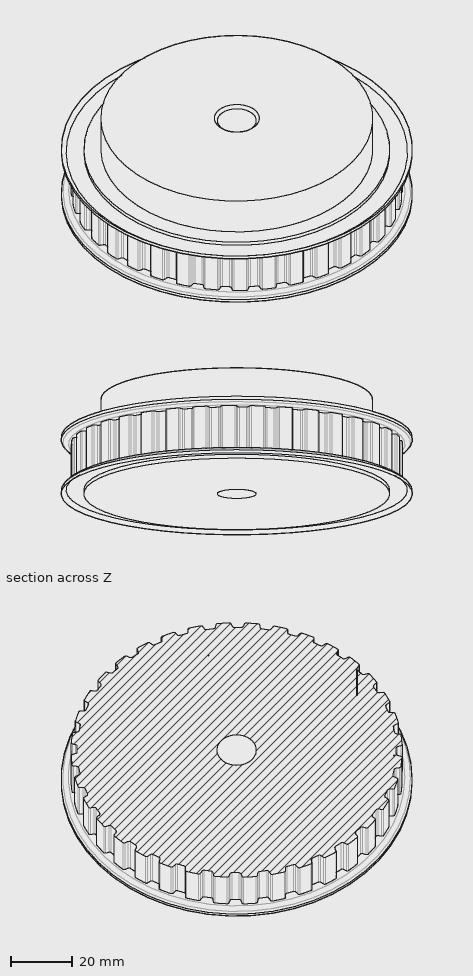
import cadquery as cq
import math

total_height = 31.75
hub_height = 12.7
rim_height = total_height - hub_height
hub_radius = 88.9 / 2

bore_radius = 12.7 / 2
bore_chamfer = 1.0

tooth_count = 36
tooth_angle = 360 / tooth_count
belt_pitch = 9.525
belt_line_offset = 0.381
tooth_tip_radius = tooth_count * belt_pitch / (2 * math.pi) - belt_line_offset

groove_depth = 1.98
groove_floor_width = 3.2
flank_angle = math.radians(20)
root_rounding = 0.6
tip_rounding = 0.7

flange_radius = 114.81 / 2
core_radius = 50.0
flange_dish_depth = 1.27
flange_thickness = 1.1
flange_rim_thickness = 1.05
dish_floor_radius = 55.8
outer_bend_start_radius = 55.0
outer_bend_end_radius = 56.8
outer_bend_end_depth = 1.7

overlap = 1.0


def make_hub_and_core():
    core = cq.Workplane("XY").circle(core_radius).extrude(rim_height)
    hub = cq.Workplane("XY").workplane(offset=rim_height).circle(hub_radius).extrude(hub_height)
    return core.union(hub)


def make_flange():
    """Upper flange: a flat plate whose rim bends upwards."""
    plate_top = rim_height - flange_dish_depth
    plate_bottom = plate_top - flange_thickness
    inner_radius = core_radius - overlap
    return (
        cq.Workplane("XZ")
        .moveTo(inner_radius, plate_bottom)
        .lineTo(outer_bend_start_radius, plate_bottom)
        .tangentArcPoint((outer_bend_end_radius, rim_height - outer_bend_end_depth), relative=False)
        .lineTo(flange_radius, rim_height - flange_rim_thickness)
        .lineTo(flange_radius, rim_height)
        .lineTo(dish_floor_radius, plate_top)
        .lineTo(inner_radius, plate_top)
        .close()
        .revolve(360, (0, 0, 0), (0, 1, 0))
    )


def make_groove_cutter(height):
    """Prism for the groove on the +X side, including the rounding of its roots and tooth tips."""
    floor_half = groove_floor_width / 2
    floor_x = tooth_tip_radius - groove_depth
    top_half = floor_half + groove_depth * math.tan(flank_angle)

    corner_factor = math.tan((math.pi / 2 - flank_angle) / 2)
    root_length = root_rounding * corner_factor
    tip_length = tip_rounding * corner_factor

    floor_end = floor_half - root_length
    flank_start_x = floor_x + root_length * math.cos(flank_angle)
    flank_start_y = floor_half + root_length * math.sin(flank_angle)
    flank_end_x = tooth_tip_radius - tip_length * math.cos(flank_angle)
    flank_end_y = top_half - tip_length * math.sin(flank_angle)
    opening_half = top_half + tip_length
    opening_x = math.sqrt(tooth_tip_radius**2 - opening_half**2)
    outside_x = tooth_tip_radius + overlap

    half_groove = (
        cq.Workplane("XY")
        .moveTo(floor_x, 0)
        .lineTo(floor_x, floor_end)
        .tangentArcPoint((flank_start_x, flank_start_y), relative=False)
        .lineTo(flank_end_x, flank_end_y)
        .tangentArcPoint((opening_x, opening_half), relative=False)
        .lineTo(outside_x, opening_half)
        .lineTo(outside_x, 0)
        .close()
        .extrude(height)
    )
    return half_groove.union(half_groove.mirror("XZ")).clean()


def make_toothed_ring():
    """Teeth filling the height between the two flange plates."""
    ring_start = flange_dish_depth + flange_thickness
    ring_height = rim_height - 2 * ring_start
    ring = cq.Workplane("XY").circle(tooth_tip_radius).extrude(ring_height)
    groove = make_groove_cutter(ring_height)
    for index in range(tooth_count):
        ring = ring.cut(groove.rotate((0, 0, 0), (0, 0, 1), index * tooth_angle))
    return ring.translate((0, 0, ring_start))


def make_bore_cutter():
    """Through bore with a chamfered mouth at the hub face."""
    bore = cq.Workplane("XY").circle(bore_radius).extrude(total_height)
    return bore.union(
        cq.Workplane("XY")
        .workplane(offset=total_height - bore_chamfer)
        .circle(bore_radius)
        .workplane(offset=bore_chamfer)
        .circle(bore_radius + bore_chamfer)
        .loft(ruled=True)
    )


upper_flange = make_flange()
lower_flange = upper_flange.mirror("XY").translate((0, 0, rim_height))

result = (
    make_hub_and_core()
    .union(make_toothed_ring())
    .union(upper_flange)
    .union(lower_flange)
    .cut(make_bore_cutter())
)